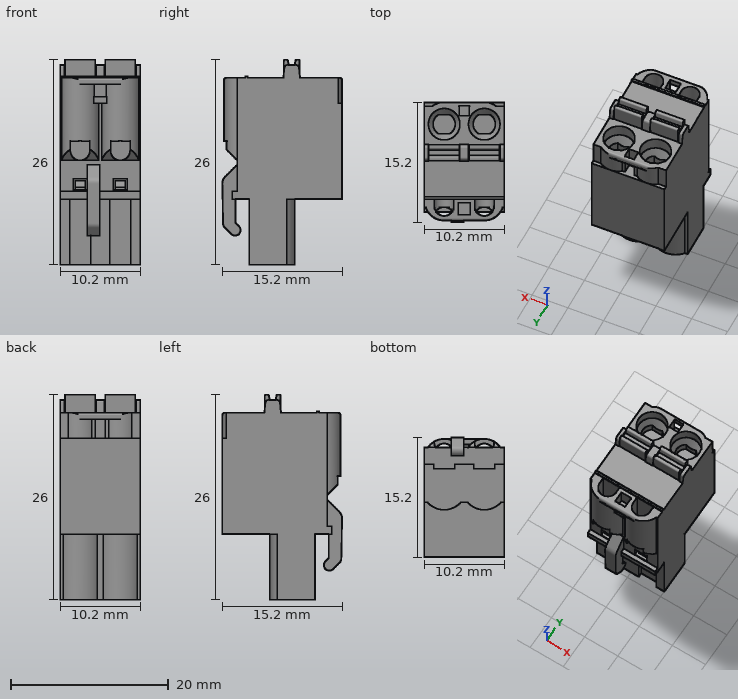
import cadquery as cq
import math

WIDTH = 10.17
POLE_PITCH = WIDTH / 2
POLE_X = (-POLE_PITCH / 2, POLE_PITCH / 2)
OVERLAP = 0.25

BACK_Y = 13.3
HOUSING_BOTTOM = 8.32
HOUSING_TOP = 23.7
TOP_EDGE_RADIUS = 0.3
FLANGE_DEPTH = 0.6
FLANGE_HEIGHT = 1.01
RIB_Y = 1.2
RIB_WIDTH = 0.35
RIB_HEIGHT = 0.18

BARREL_RADIUS = 2.47
FRONT_PROJECTION = 1.7
FRONT_AXIS_Y = BARREL_RADIUS - FRONT_PROJECTION
BACK_AXIS_Y = BACK_Y - BARREL_RADIUS
BACK_PROJECTION = 0.5
FRONT_BARREL_BOTTOM = 13.25
SHOULDER_Z = 20.5
CAP_BOTTOM = 22.88

FRONT_KEY_SIZE = 1.48
FRONT_KEY_Y = -0.195
FRONT_KEY_FLOOR = 21.32
FRONT_SILL_WIDTH = 1.6
FRONT_SILL_Y = -1.0
BACK_KEY_SIZE = 1.3
BACK_KEY_Y = 12.25

TEST_WIDTH = 2.47
TEST_RADIUS = TEST_WIDTH / 2
TEST_AXIS_Y = 0.15
TEST_BACK_Y = 1.01
TEST_BOTTOM = 13.23
TEST_WINDOW_TOP = 15.68

WIRE_Y = 10.53
WIRE_DIAMETER = 4.0
WIRE_STRAIGHT_DEPTH = 1.75
WIRE_CONE_DEPTH = 1.17
WIRE_FLAT_WIDTH = 2.4
WIRE_BORE_DIAMETER = 2.8
WIRE_BORE_DEPTH = 3.9

RIDGE_Y = 6.92
RIDGE_BASE = 2.15
RIDGE_CROWN = 1.72
RIDGE_TOP = 25.32
RIDGE_RADIUS = 0.3
LEVER_SLOT_WIDTH = 4.0
LEVER_WIDTH = 3.85
LEVER_THICKNESS = 2.03
LEVER_TOP = 26.0
LEVER_PRONG = 0.52
LEVER_GROOVE_WIDTH = 0.68
LEVER_GROOVE_FLOOR = 25.22
LEVER_RADIUS = 0.18

LATCH_WIDTH = 1.8
LATCH_BOTTOM = 9.5
LATCH_HEIGHT = 1.43
LATCH_DEPTH = 1.27
TONGUE_WIDTH = 1.27
TONGUE_SETBACK = 0.45
TONGUE_LIP = 0.35

PLUG_FRONT_Y = 1.53
PLUG_BACK_Y = 7.3
PLUG_LOBE_WIDTH = 4.32
PLUG_LOBE_HEIGHT = 1.0
PLUG_GROOVE_WIDTH = 2.63
PLUG_GROOVE_DEPTH = 0.6

HOOK_WIDTH = 1.6
HOOK_X = -0.85
HOOK_ROOT_Z = 12.7
HOOK_SHOULDER_Y = -1.9
HOOK_LOWER_Y = -1.8
HOOK_INNER_Y = -0.18
HOOK_TIP = (-0.25, 4.4)
HOOK_TIP_RADIUS = 0.7
HOOK_SHOULDER_RADIUS = 1.17
HOOK_BEND_RADIUS = 0.78


def block(x, y, z):
    """Box spanning the given (low, high) range along each axis."""
    spans = [high - low for low, high in (x, y, z)]
    return cq.Workplane("XY").box(*spans, centered=False).translate((x[0], y[0], z[0]))


def centred(middle, size):
    return (middle - size / 2, middle + size / 2)


def cylinder(x, y, radius, z):
    return cq.Workplane("XY", origin=(x, y, z[0])).circle(radius).extrude(z[1] - z[0])


def across(points, x_middle, width):
    """Prism of a closed (y, z) outline, centred on x_middle."""
    return cq.Workplane("YZ", origin=(x_middle, 0, 0)).polyline(points).close().extrude(width / 2, both=True)


FULL_X = centred(0, WIDTH)


def barrels(axis_y, bottom):
    """A pair of barrels joined at the top by a cap that fills the valley between them."""
    solid = block(centred(0, POLE_PITCH), centred(axis_y, 2 * BARREL_RADIUS), (CAP_BOTTOM, HOUSING_TOP))
    for x in POLE_X:
        solid = solid.union(cylinder(x, axis_y, BARREL_RADIUS, (bottom, HOUSING_TOP)))
    return solid


def housing():
    solid = block(FULL_X, (0, BACK_Y), (HOUSING_BOTTOM, SHOULDER_Z))
    solid = solid.union(block(FULL_X, (0, BACK_Y - BACK_PROJECTION), (HOUSING_BOTTOM, HOUSING_TOP)))
    front = barrels(FRONT_AXIS_Y, FRONT_BARREL_BOTTOM)
    reach = FRONT_PROJECTION + OVERLAP
    slope = [(0, FRONT_BARREL_BOTTOM), (-reach, FRONT_BARREL_BOTTOM), (-reach, FRONT_BARREL_BOTTOM + reach)]
    front = front.cut(across(slope, 0, WIDTH))
    solid = solid.union(front).union(barrels(BACK_AXIS_Y, SHOULDER_Z))
    envelope = block(FULL_X, (-FRONT_PROJECTION, BACK_Y), (HOUSING_BOTTOM, HOUSING_TOP))
    envelope = envelope.faces(">Z").edges("|X").fillet(TOP_EDGE_RADIUS)
    solid = solid.intersect(envelope)
    sill = block(centred(0, FRONT_SILL_WIDTH), (FRONT_SILL_Y, 0), (SHOULDER_Z, FRONT_KEY_FLOOR))
    flange_z = (HOUSING_BOTTOM, HOUSING_BOTTOM + FLANGE_HEIGHT)
    flange = block(FULL_X, (-FLANGE_DEPTH, OVERLAP), flange_z)
    rib = block(FULL_X, centred(RIB_Y, RIB_WIDTH), (HOUSING_TOP - OVERLAP, HOUSING_TOP + RIB_HEIGHT))
    return solid.union(sill).union(flange).union(rib)


def key_hole(y, size, floor):
    return block(centred(0, size), centred(y, size), (floor, HOUSING_TOP + OVERLAP))


def test_opening(x):
    """Upright U-shaped shaft that opens forward through a window with a round bottom."""
    trough_axis = TEST_BOTTOM + TEST_RADIUS
    shaft_z = (trough_axis, HOUSING_TOP + OVERLAP)
    side = centred(x, TEST_WIDTH)
    front_y = -FRONT_PROJECTION - OVERLAP
    shaft = cylinder(x, TEST_AXIS_Y, TEST_RADIUS, shaft_z)
    shaft = shaft.intersect(block(side, (front_y, TEST_BACK_Y), shaft_z))
    shaft = shaft.union(block(side, (TEST_AXIS_Y, TEST_BACK_Y), shaft_z))
    window = block(side, (front_y, TEST_BACK_Y), (trough_axis, TEST_WINDOW_TOP))
    trough = cq.Workplane("XZ", origin=(x, TEST_BACK_Y, trough_axis)).circle(TEST_RADIUS)
    return shaft.union(window).union(trough.extrude(TEST_BACK_Y - front_y))


def wire_entry(x):
    """Round mouth, funnel, then a bore with two flats."""
    funnel_z = HOUSING_TOP - WIRE_STRAIGHT_DEPTH
    bore_z = (HOUSING_TOP - WIRE_BORE_DEPTH, funnel_z)
    mouth = cylinder(x, WIRE_Y, WIRE_DIAMETER / 2, (funnel_z, HOUSING_TOP + OVERLAP))
    funnel = (
        cq.Workplane("XY", origin=(x, WIRE_Y, funnel_z))
        .circle(WIRE_DIAMETER / 2)
        .workplane(offset=-WIRE_CONE_DEPTH)
        .circle(WIRE_FLAT_WIDTH / 2)
        .loft()
    )
    bore = cylinder(x, WIRE_Y, WIRE_BORE_DIAMETER / 2, bore_z)
    flats = block(centred(x, WIRE_BORE_DIAMETER), centred(WIRE_Y, WIRE_FLAT_WIDTH), bore_z)
    return mouth.union(funnel).union(bore.intersect(flats))


def latch_window(x):
    """Pocket in the front wall with a sloped tongue standing on its floor."""
    pocket_z = (LATCH_BOTTOM, LATCH_BOTTOM + LATCH_HEIGHT)
    pocket = block(centred(x, LATCH_WIDTH), (-OVERLAP, LATCH_DEPTH), pocket_z)
    lip_z = LATCH_BOTTOM + TONGUE_LIP
    tongue = [
        (TONGUE_SETBACK, LATCH_BOTTOM),
        (TONGUE_SETBACK, lip_z),
        (LATCH_DEPTH, lip_z + LATCH_DEPTH - TONGUE_SETBACK),
        (LATCH_DEPTH, LATCH_BOTTOM),
    ]
    return pocket.cut(across(tongue, x, TONGUE_WIDTH))


def ridge():
    base_z = HOUSING_TOP - OVERLAP
    outline = [
        (RIDGE_Y - RIDGE_BASE / 2, base_z),
        (RIDGE_Y - RIDGE_BASE / 2, HOUSING_TOP),
        (RIDGE_Y - RIDGE_CROWN / 2, RIDGE_TOP),
        (RIDGE_Y + RIDGE_CROWN / 2, RIDGE_TOP),
        (RIDGE_Y + RIDGE_BASE / 2, HOUSING_TOP),
        (RIDGE_Y + RIDGE_BASE / 2, base_z),
    ]
    solid = across(outline, 0, WIDTH).faces(">Z").edges("|X").fillet(RIDGE_RADIUS)
    for x in POLE_X:
        slot_y = centred(RIDGE_Y, RIDGE_BASE + OVERLAP)
        solid = solid.cut(block(centred(x, LEVER_SLOT_WIDTH), slot_y, (HOUSING_TOP, LEVER_TOP)))
    return solid


def lever(x):
    """Upright plate with a tapered groove along its top, leaving two prongs."""
    lever_z = (HOUSING_TOP - OVERLAP, LEVER_TOP)
    solid = block(centred(x, LEVER_WIDTH), centred(RIDGE_Y, LEVER_THICKNESS), lever_z)
    mouth = LEVER_THICKNESS - 2 * LEVER_PRONG
    groove = [
        (RIDGE_Y - mouth / 2, LEVER_TOP),
        (RIDGE_Y - LEVER_GROOVE_WIDTH / 2, LEVER_GROOVE_FLOOR),
        (RIDGE_Y + LEVER_GROOVE_WIDTH / 2, LEVER_GROOVE_FLOOR),
        (RIDGE_Y + mouth / 2, LEVER_TOP),
    ]
    solid = solid.cut(across(groove, x, LEVER_WIDTH))
    return solid.faces(">Z").edges("|X").fillet(LEVER_RADIUS)


def plug():
    """Rectangular plug with a square groove per pole at the front and a round lobe per pole at the back."""
    lobe_base_y = PLUG_BACK_Y - PLUG_LOBE_HEIGHT
    height = HOUSING_BOTTOM + OVERLAP
    solid = block(FULL_X, (PLUG_FRONT_Y, lobe_base_y), (0, height))
    groove_y = (PLUG_FRONT_Y - OVERLAP, PLUG_FRONT_Y + PLUG_GROOVE_DEPTH)
    for x in POLE_X:
        solid = solid.cut(block(centred(x, PLUG_GROOVE_WIDTH), groove_y, (-OVERLAP, HOUSING_BOTTOM)))
        left, right = centred(x, PLUG_LOBE_WIDTH)
        lobe = (
            cq.Workplane("XY")
            .moveTo(left, lobe_base_y)
            .threePointArc((x, PLUG_BACK_Y), (right, lobe_base_y))
            .close()
            .extrude(height)
        )
        solid = solid.union(lobe)
    return solid


def hook():
    """Side profile: 45 degree shoulder, slightly tapered arm, 45 degree toe with a round tip."""
    tip_y, tip_z = HOOK_TIP
    diagonal = HOOK_TIP_RADIUS * math.sqrt(0.5)
    toe_outer = (tip_y - diagonal, tip_z - diagonal)
    toe_end = (tip_y + diagonal, tip_z - diagonal)
    toe_inner = (tip_y + diagonal, tip_z + diagonal)
    bend_z = toe_outer[1] + toe_outer[0] - HOOK_LOWER_Y
    inner_bend_z = toe_inner[1] + toe_inner[0] - HOOK_INNER_Y
    shoulder_z = HOOK_ROOT_Z + HOOK_SHOULDER_Y
    solid = (
        cq.Workplane("YZ", origin=(HOOK_X, 0, 0))
        .moveTo(OVERLAP, HOUSING_BOTTOM)
        .lineTo(OVERLAP, HOOK_ROOT_Z)
        .lineTo(0, HOOK_ROOT_Z)
        .lineTo(HOOK_SHOULDER_Y, shoulder_z)
        .lineTo(HOOK_LOWER_Y, bend_z)
        .lineTo(*toe_outer)
        .threePointArc(toe_end, toe_inner)
        .lineTo(HOOK_INNER_Y, inner_bend_z)
        .lineTo(HOOK_INNER_Y, HOUSING_BOTTOM)
        .close()
        .extrude(HOOK_WIDTH / 2, both=True)
    )
    for y, z, radius in (
        (HOOK_SHOULDER_Y, shoulder_z, HOOK_SHOULDER_RADIUS),
        (HOOK_LOWER_Y, bend_z, HOOK_BEND_RADIUS),
    ):
        solid = solid.edges(cq.NearestToPointSelector((HOOK_X, y, z))).fillet(radius)
    return solid


result = housing()
result = result.cut(key_hole(FRONT_KEY_Y, FRONT_KEY_SIZE, FRONT_KEY_FLOOR))
result = result.cut(key_hole(BACK_KEY_Y, BACK_KEY_SIZE, SHOULDER_Z))
for pole in POLE_X:
    result = result.cut(test_opening(pole)).cut(wire_entry(pole)).cut(latch_window(pole))
result = result.union(ridge()).union(plug()).union(hook())
for pole in POLE_X:
    result = result.union(lever(pole))